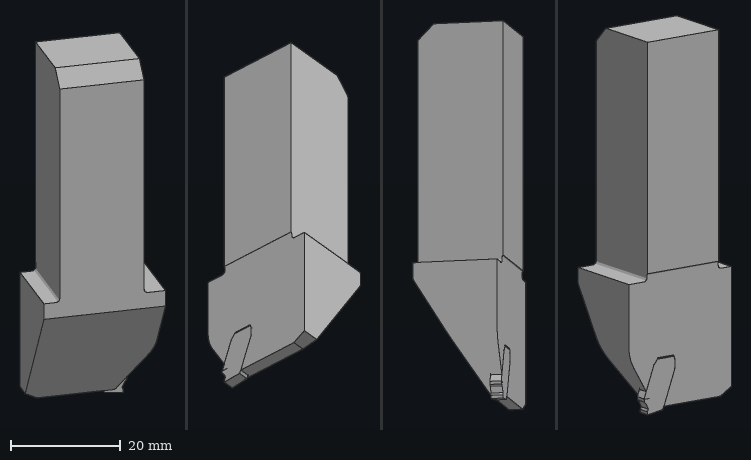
import cadquery as cq
import math

shank_width = 16.0
total_height = 70.0
top_chamfer = 3.0

blade_width = 23.07
blade_overhang = 3.0
blade_bottom = 1.0
blade_top = 25.05
shoulder_radius = 0.75
face_setback = 0.2
setback_radius = 0.55
setback_end = 26.1
back_slope_start = 22.0
back_slope_angle = 32.2
corner_bevel_width = 2.5
corner_bevel_height = 1.5
relief_start = 11.1
relief_angle = 30.0
relief_radius = 8.0

insert_back = 2.32
insert_top = 10.3
insert_width = 4.9
insert_tilt = 20.0
insert_foot_y = 12.2
insert_rear_y = 9.7
insert_rear_top = 9.5
top_edge_rear_y = 10.0
top_edge_front_y = 13.5
front_corner_z = 9.1
insert_top_bevel = 0.2
heel_y = 12.5
heel_z = 0.4
nose_y = 16.02
nose_height = 0.6
neck_y = 15.8
neck_z = 1.05
flank_y = 16.66
flank_bottom = 2.5
flank_neck_y = 16.24
flank_neck_z = 2.0

rake_top = 3.0
rake_corner_y = 15.55
rake_end_y = 12.65
rake_end_z = 0.7


def outline_in_yz(points):
    return cq.Workplane("YZ").polyline(points).close()


def side_y(z, offset):
    """Y of a tilted insert side at height z, offset across the width from the rear side."""
    tilt = math.radians(insert_tilt)
    return insert_foot_y + offset / math.cos(tilt) - (z - blade_bottom) * math.tan(tilt)


def make_front_shape():
    """Shank and blade outline in the YZ plane, as a prism as deep as the shank."""
    rear = -blade_overhang
    front = rear + blade_width
    relief_run = (relief_start - blade_bottom) * math.tan(math.radians(relief_angle))
    prism = outline_in_yz([
        (0, total_height),
        (0, blade_top),
        (rear, blade_top),
        (rear, blade_bottom + corner_bevel_height),
        (rear + corner_bevel_width, blade_bottom),
        (front - relief_run, blade_bottom),
        (front, relief_start),
        (front, blade_top),
        (shank_width, blade_top),
        (shank_width, total_height),
    ]).extrude(shank_width)
    middle = shank_width / 2
    for shoulder_y in (0, shank_width):
        prism = prism.edges(cq.NearestToPointSelector((middle, shoulder_y, blade_top))).fillet(shoulder_radius)
    return prism.edges(cq.NearestToPointSelector((middle, front, relief_start))).fillet(relief_radius)


def make_side_shape():
    """Shank and blade outline in the XZ plane: top chamfer, sloping back and set-back front face."""
    slope_run = (back_slope_start - blade_bottom) * math.tan(math.radians(back_slope_angle))
    arc_center_x = face_setback - setback_radius
    arc_end_angle = math.acos(-arc_center_x / setback_radius)

    def arc_point(angle):
        return (
            arc_center_x + setback_radius * math.cos(angle),
            setback_end + setback_radius * math.sin(angle),
        )

    return (
        cq.Workplane("XZ", origin=(0, blade_width, 0))
        .moveTo(0, total_height)
        .lineTo(shank_width - top_chamfer, total_height)
        .lineTo(shank_width, total_height - top_chamfer)
        .lineTo(shank_width, back_slope_start)
        .lineTo(shank_width - slope_run, blade_bottom)
        .lineTo(face_setback, blade_bottom)
        .lineTo(face_setback, setback_end)
        .threePointArc(arc_point(arc_end_angle / 2), arc_point(arc_end_angle))
        .close()
        .extrude(blade_width + 2 * blade_overhang)
    )


def make_insert_bar(front_x):
    """Insert outline as a prism from front_x to the pocket floor."""
    tilt_slope = math.tan(math.radians(insert_tilt))
    rear_side_top = blade_bottom + (side_y(blade_bottom, 0) - insert_rear_y) / tilt_slope
    flank_top = blade_bottom + (side_y(blade_bottom, insert_width) - flank_y) / tilt_slope
    return outline_in_yz([
        (insert_rear_y, rear_side_top),
        (insert_rear_y, insert_rear_top),
        (top_edge_rear_y, insert_top),
        (top_edge_front_y, insert_top),
        (side_y(front_corner_z, insert_width), front_corner_z),
        (flank_y, flank_top),
        (flank_y, flank_bottom),
        (flank_neck_y, flank_neck_z),
        (neck_y, neck_z),
        (nose_y, nose_height),
        (nose_y, 0),
        (heel_y, heel_z),
        (insert_foot_y, blade_bottom),
    ]).extrude(insert_back - front_x).translate((front_x, 0, 0))


def make_rake():
    """Wedge that grows from nothing at its sloping border to the full setback at the nose."""
    border = cq.Vector(0, rake_corner_y - rake_end_y, rake_top - rake_end_z).normalized()
    across = cq.Vector(0, border.z, -border.y)
    start = cq.Vector(face_setback, rake_end_y, rake_end_z)
    nose_distance = (cq.Vector(face_setback, nose_y, 0) - start).dot(across)
    wedge = (
        cq.Workplane(cq.Plane(origin=start, xDir=across, normal=border))
        .polyline([(0, 0), (nose_distance, face_setback), (nose_distance, 0)])
        .close()
        .extrude(total_height, both=True)
    )
    under_rake_top = cq.Workplane("XY").box(shank_width, total_height, rake_top, centered=(True, True, False))
    return make_insert_bar(0).intersect(wedge).intersect(under_rake_top)


def make_insert():
    """Insert bar flush with the blade face, bevelled along its top and carrying the rake wedge."""
    top_edge = ((top_edge_rear_y + top_edge_front_y) / 2, insert_top)
    bar = make_insert_bar(face_setback)
    bar = bar.edges(cq.NearestToPointSelector((face_setback, *top_edge))).chamfer(insert_top_bevel)
    return bar.union(make_rake())


holder = make_front_shape().intersect(make_side_shape()).cut(make_insert_bar(0))
insert = make_insert()

result = cq.Compound.makeCompound([holder.val(), insert.val()])